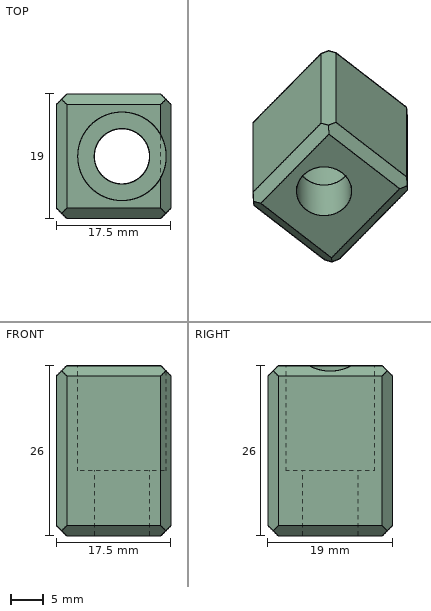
import cadquery as cq

width_x = 17.5
depth_y = 19.0
height_z = 26.0
edge_chamfer = 1.6

bore_offset_x = 1.25
through_diameter = 8.4
counterbore_diameter = 13.5
floor_thickness = 10.0
counterbore_depth = height_z - floor_thickness


def block_chamfered_along(axis):
    """Block standing on Z = 0 with the four edges parallel to one axis chamfered."""
    block = cq.Workplane("XY").box(width_x, depth_y, height_z, centered=(True, True, False))
    return block.edges("|" + axis).chamfer(edge_chamfer)


def chamfered_block():
    """Block with every chamfer plane running its full length, so three planes meet at each corner."""
    block = block_chamfered_along("Z")
    for axis in ("X", "Y"):
        block = block.intersect(block_chamfered_along(axis))
    return block


def cut_stepped_bore(block):
    """Through hole with a wide, flat-bottomed counterbore opening at the top."""
    return (
        block.faces(">Z")
        .workplane(origin=(bore_offset_x, 0, height_z))
        .cboreHole(through_diameter, counterbore_diameter, counterbore_depth)
    )


result = cut_stepped_bore(chamfered_block())